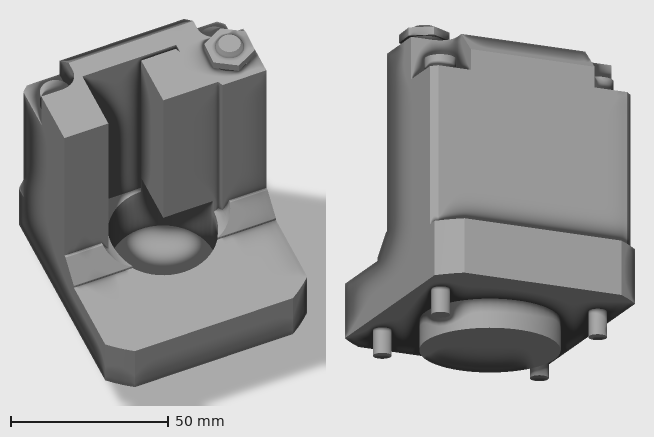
import cadquery as cq
import math

total_height = 101.9
plate_length = 82.0
plate_width = 70.0
plate_thick = 18.2
plate_corner_diameter = 98.6

spigot_diameter = 45.0
spigot_depth = 9.8
pin_diameter = 6.0
pin_depth = 8.6
pin_x = 22.6
pin_y = 27.4

tower_left = -33.1
tower_right = 1.9
tower_top = 85.5
tower_edge_chamfer = 2.0
top_chamfer = 7.3

ledge_right = 2.9
ledge_top = 25.9
slope_right = 9.6
slope_bottom = ledge_top - (slope_right - ledge_right)

pocket_floor = 71.2
pocket_radius = 5.9
screw_x = -22.5
screw_y = 27.5
screw_diameter = 10.0
screw_height = 6.0

cavity_floor = 18.9
cavity_left = -18.9
cavity_side = 19.8
channel_width = 45.0
channel_radius = 10.0
bore_diameter = 35.0
block_left = -17.5
block_right = 0.2
block_front = 0.0
block_notch_end = -15.7
block_notch_height = 0.7
block_bevel = 0.7
slot_end = 12.7

stud_x = -7.9
stud_y = 26.5
collar_diameter = 12.6
collar_foot_diameter = 14.0
collar_foot_height = 0.3
nut_bottom = 87.5
nut_top = 90.3
nut_corner_diameter = 16.3
nut_turn = -2.0
stud_diameter = 9.3
stud_top_diameter = 7.1
stud_top = total_height - spigot_depth


def cylinder(x, y, bottom, top, diameter):
    """Vertical cylinder between two heights."""
    return cq.Workplane("XY", origin=(x, y, bottom)).circle(diameter / 2).extrude(top - bottom)


def cone(x, y, bottom, top, bottom_diameter, top_diameter):
    """Vertical truncated cone between two heights."""
    taper = math.degrees(math.atan2((bottom_diameter - top_diameter) / 2, top - bottom))
    base = cq.Workplane("XY", origin=(x, y, bottom)).circle(bottom_diameter / 2)
    return base.extrude(top - bottom, taper=taper)


def base_plate():
    plate = cq.Workplane("XY").rect(plate_length, plate_width).extrude(plate_thick)
    plate = plate.intersect(cylinder(0, 0, 0, plate_thick, plate_corner_diameter))
    plate = plate.union(cylinder(0, 0, -spigot_depth, 0, spigot_diameter))
    for x in (-pin_x, pin_x):
        for y in (-pin_y, pin_y):
            plate = plate.union(cylinder(x, y, -pin_depth, 0, pin_diameter))
    return plate


def tower():
    outline = [
        (tower_left, 0),
        (slope_right, 0),
        (slope_right, slope_bottom),
        (ledge_right, ledge_top),
        (tower_right, ledge_top),
        (tower_right, tower_top),
        (tower_left + top_chamfer, tower_top),
        (tower_left, tower_top - top_chamfer),
    ]
    body = cq.Workplane("XZ").polyline(outline).close().extrude(plate_width / 2, both=True)
    return body.edges("|Z and <X").chamfer(tower_edge_chamfer)


def screw_pocket(side):
    """Corner pocket on the +Y (side = 1) or -Y (side = -1) edge of the tower."""
    right = screw_x + pocket_radius
    inner = side * (screw_y - pocket_radius)
    outer = side * plate_width
    diagonal = pocket_radius * math.sqrt(0.5)
    return (
        cq.Workplane("XY", origin=(0, 0, pocket_floor))
        .moveTo(2 * tower_left, outer)
        .lineTo(2 * tower_left, inner)
        .lineTo(screw_x, inner)
        .threePointArc((screw_x + diagonal, side * (screw_y - diagonal)), (right, side * screw_y))
        .lineTo(right, outer)
        .close()
        .extrude(tower_top - pocket_floor)
    )


def channel(left, right):
    """Channel along X with rounded floor corners."""
    return (
        cq.Workplane("XY", origin=(0, 0, cavity_floor))
        .moveTo((left + right) / 2, 0)
        .rect(right - left, channel_width)
        .extrude(tower_top - cavity_floor)
        .edges("|X and <Z")
        .fillet(channel_radius)
    )


def cavity():
    outline = [
        (cavity_left, -cavity_side),
        (slope_right, -cavity_side),
        (slope_right, cavity_side),
        (tower_right, cavity_side),
        (block_right, cavity_side - block_bevel),
        (block_right, block_front),
        (block_left, block_front),
        (block_left, slot_end - block_notch_height),
        (block_notch_end, slot_end),
        (cavity_left, slot_end),
    ]
    opening = cq.Workplane("XY").polyline(outline).close().extrude(tower_top)
    inside = channel(cavity_left, slope_right).intersect(opening)
    beyond = channel(tower_right, slope_right)
    bore = cylinder(0, 0, 0, ledge_top, bore_diameter)
    return inside.union(beyond).union(bore)


def nut_and_stud():
    collar = cylinder(stud_x, stud_y, tower_top, nut_bottom, collar_diameter)
    foot_top = tower_top + collar_foot_height
    foot = cone(stud_x, stud_y, tower_top, foot_top, collar_foot_diameter, collar_diameter)
    nut = (
        cq.Workplane("XY")
        .polygon(6, nut_corner_diameter)
        .extrude(nut_top - nut_bottom)
        .rotate((0, 0, 0), (0, 0, 1), nut_turn)
        .translate((stud_x, stud_y, nut_bottom))
    )
    stud = cone(stud_x, stud_y, nut_top, stud_top, stud_diameter, stud_top_diameter)
    return collar.union(foot).union(nut).union(stud)


result = base_plate().union(tower())
for side in (-1, 1):
    result = result.cut(screw_pocket(side))
    screw = cylinder(screw_x, side * screw_y, pocket_floor, pocket_floor + screw_height, screw_diameter)
    result = result.union(screw)
result = result.cut(cavity()).union(nut_and_stud())